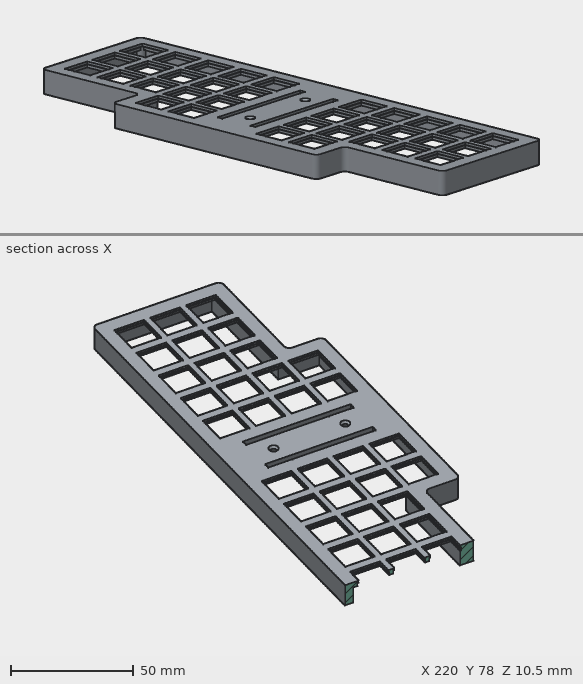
import cadquery as cq
LENGTH = 220.0
DEPTH = 78.0
HEIGHT = 10.5
CORNER_RADIUS = 2.5

KEY_PITCH_X = 18.0
KEY_PITCH_Y = 17.0
KEY_COLUMNS = 5
FULL_ROWS = 3
THUMB_KEYS = 2
BORDER = 5.0

OPENING = 14.0
LIP_THICKNESS = 1.3
RECESS = 15.0

PLATE_THICKNESS = 2.8
WALL = 4.0

POST_DIAMETER = 3.6
POST_INSET = 1.5
POST_BOTTOM = 1.6

SLOT_WIDTH = 2.7
SLOT_LENGTH = 3 * KEY_PITCH_Y
SLOT_X = KEY_PITCH_X / 2
SCREW_DIAMETER = 2.2
SCREW_HEAD_DIAMETER = 4.2
SCREW_HEAD_ANGLE = 90.0
SCREW_Y = KEY_PITCH_Y

half_length = LENGTH / 2
half_depth = DEPTH / 2
ledge_y = half_depth - 2 * BORDER - FULL_ROWS * KEY_PITCH_Y
tongue_x = half_length - (KEY_COLUMNS - THUMB_KEYS) * KEY_PITCH_X
ledge_wall = BORDER + (KEY_PITCH_Y - OPENING) / 2
cavity_height = HEIGHT - PLATE_THICKNESS
lip_bottom = HEIGHT - LIP_THICKNESS


def stepped_prism(inset, ledge_inset, height):
    """Wide plate with a narrower tongue at the front, standing on Z = 0."""
    side = half_length - inset
    back = half_depth - inset
    ledge = ledge_y + ledge_inset
    tongue = tongue_x - inset
    front = inset - half_depth
    outline = [
        (-side, back),
        (side, back),
        (side, ledge),
        (tongue, ledge),
        (tongue, front),
        (-tongue, front),
        (-tongue, ledge),
        (-side, ledge),
    ]
    return cq.Workplane("XY").polyline(outline).close().extrude(height)


def key_centres():
    """Centres of all keys, columns counted from the outer ends inwards."""
    outer_x = half_length - BORDER - KEY_PITCH_X / 2
    back_y = half_depth - BORDER - KEY_PITCH_Y / 2
    centres = []
    for row in range(FULL_ROWS + 1):
        first_column = 0 if row < FULL_ROWS else KEY_COLUMNS - THUMB_KEYS
        y = back_y - row * KEY_PITCH_Y
        for column in range(first_column, KEY_COLUMNS):
            x = outer_x - column * KEY_PITCH_X
            centres += [(-x, y), (x, y)]
    return centres


def rectangles(centres, width, depth, bottom):
    """Equal blocks at the given centres, from a bottom height up to the top face."""
    plane = cq.Workplane("XY").workplane(offset=bottom)
    return plane.pushPoints(centres).rect(width, depth).extrude(HEIGHT - bottom)


def corner_posts():
    """Posts from their raised lower ends up to the underside of the lip."""
    x = half_length - WALL - POST_INSET
    y = half_depth - WALL - POST_INSET
    plane = cq.Workplane("XY").workplane(offset=POST_BOTTOM)
    return plane.pushPoints([(-x, y), (x, y)]).circle(POST_DIAMETER / 2).extrude(lip_bottom - POST_BOTTOM)


def switch_recesses():
    """Wider part of the switch openings, between the cavity and the lip."""
    plane = cq.Workplane("XY").workplane(offset=cavity_height)
    return plane.pushPoints(key_centres()).rect(RECESS, RECESS).extrude(lip_bottom - cavity_height)


case = stepped_prism(0, 0, HEIGHT).edges("|Z").fillet(CORNER_RADIUS)
case = case.cut(stepped_prism(WALL, ledge_wall, cavity_height))

case = case.cut(rectangles(key_centres(), OPENING, OPENING, cavity_height))
case = case.cut(switch_recesses())
case = case.union(corner_posts())

case = case.cut(rectangles([(-SLOT_X, 0), (SLOT_X, 0)], SLOT_WIDTH, SLOT_LENGTH, cavity_height))
case = (
    case.faces(">Z")
    .workplane(origin=(0, 0, 0))
    .pushPoints([(0, -SCREW_Y), (0, SCREW_Y)])
    .cskHole(SCREW_DIAMETER, SCREW_HEAD_DIAMETER, SCREW_HEAD_ANGLE)
)

result = case